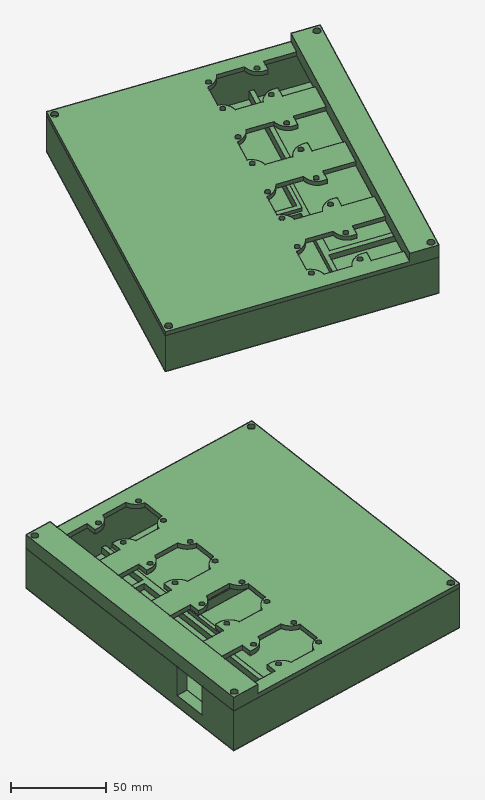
import cadquery as cq

length = 170.0
width = 154.1
total_height = 36.9
base_height = 27.5

side_wall = 6.8
floor_thickness = 3.0
inner_right = length - side_wall
inner_back = width - side_wall

notch_left = 25.8
notch_width = 20.4
notch_sill = 7.6

divider = 2.7
low_top = 7.1
tall_top = 9.5

middle_bay_left = 68.1
middle_bay_right = 126.8
middle_bay_front = 109.5
right_bay_left = 96.4
right_bay_front = 108.0

left_bay_front = 114.2
left_bay_right = 66.8
front_bay_left = middle_bay_left
front_bay_right = 92.5
front_bay_back = 104.5
front_bay_left_wall = 3.4
front_bay_back_wall = 2.0
front_bay_right_wall = 2.5

lid_thickness = 3.0
lid_top = base_height + lid_thickness
bar_width = 16.5
bar_front = width - bar_width

screw_diameter = 4.0
screw_inset_x = 3.4
screw_inset_y = 3.2

joystick_count = 4
joystick_pitch = 42.3
joystick_y = 100.5
window_half_width = 13.5
window_half_height = 15.3
window_side_half = 7.8
neck_half_width = 7.0
corner_arc_x = 9.2
corner_arc_y = 10.5
shoulder_y = 18.7
joystick_hole_diameter = 3.0
joystick_hole_x = 20.4
joystick_hole_y = 27.4


def block(x_min, x_max, y_min, y_max, z_min, z_max):
    """Box between the given limits."""
    size = (x_max - x_min, y_max - y_min, z_max - z_min)
    return cq.Workplane("XY").box(*size, centered=False).translate((x_min, y_min, z_min))


def low_dividers():
    """Low walls around the middle back bay and the right-hand bay."""
    middle_outer_left = middle_bay_left - divider
    middle_outer_right = middle_bay_right + divider
    middle_outer_front = middle_bay_front - divider
    right_outer_front = right_bay_front - divider
    walls = block(middle_outer_left, middle_outer_right, middle_outer_front, middle_bay_front,
                  floor_thickness, low_top)
    for x_min in (middle_outer_left, middle_bay_right):
        walls = walls.union(block(x_min, x_min + divider, middle_outer_front, inner_back,
                                  floor_thickness, low_top))
    walls = walls.union(block(right_bay_left - divider, inner_right, right_outer_front, right_bay_front,
                              floor_thickness, low_top))
    return walls.union(block(right_bay_left - divider, right_bay_left, side_wall, right_bay_front,
                             floor_thickness, low_top))


def tall_dividers():
    """Tall walls in front of the left back bay and around the middle front bay."""
    front_bay_outer_left = front_bay_left - front_bay_left_wall
    front_bay_outer_right = front_bay_right + front_bay_right_wall
    front_bay_outer_back = front_bay_back + front_bay_back_wall
    walls = block(side_wall, left_bay_right, left_bay_front - divider, left_bay_front,
                  floor_thickness, tall_top)
    walls = walls.union(block(front_bay_outer_left, left_bay_right, side_wall, left_bay_front,
                              floor_thickness, tall_top))
    walls = walls.union(block(front_bay_outer_left, front_bay_left, side_wall, front_bay_outer_back,
                              floor_thickness, tall_top))
    walls = walls.union(block(front_bay_outer_left, front_bay_outer_right, front_bay_back,
                              front_bay_outer_back, floor_thickness, tall_top))
    return walls.union(block(front_bay_right, front_bay_outer_right, side_wall, front_bay_outer_back,
                             floor_thickness, tall_top))


def make_base():
    """Open tray with floor dividers and a cable notch in its back wall."""
    shell = block(0, length, 0, width, 0, base_height)
    cavity = block(side_wall, inner_right, side_wall, inner_back, floor_thickness, base_height)
    notch = block(notch_left, notch_left + notch_width, inner_back, width, notch_sill, base_height)
    return shell.cut(cavity).cut(notch).union(low_dividers()).union(tall_dividers())


def joystick_window(center_x):
    """Cutter for one joystick: a body opening, a narrow neck and a wide slot back to the bar."""
    slot_end = bar_front - joystick_y
    return (
        cq.Workplane("XY")
        .moveTo(-neck_half_width, -window_half_height)
        .lineTo(neck_half_width, -window_half_height)
        .threePointArc((corner_arc_x, -corner_arc_y), (window_half_width, -window_side_half))
        .lineTo(window_half_width, window_side_half)
        .threePointArc((corner_arc_x, corner_arc_y), (neck_half_width, window_half_height))
        .lineTo(neck_half_width, shoulder_y)
        .lineTo(window_half_width, shoulder_y)
        .lineTo(window_half_width, slot_end)
        .lineTo(-window_half_width, slot_end)
        .lineTo(-window_half_width, shoulder_y)
        .lineTo(-neck_half_width, shoulder_y)
        .lineTo(-neck_half_width, window_half_height)
        .threePointArc((-corner_arc_x, corner_arc_y), (-window_half_width, window_side_half))
        .lineTo(-window_half_width, -window_side_half)
        .threePointArc((-corner_arc_x, -corner_arc_y), (-neck_half_width, -window_half_height))
        .close()
        .extrude(lid_thickness)
        .translate((center_x, joystick_y, base_height))
    )


def joystick_holes(center_x):
    """Cutter for the four mounting holes around one joystick."""
    return (
        cq.Workplane("XY", origin=(center_x, joystick_y, base_height))
        .rect(joystick_hole_x, joystick_hole_y, forConstruction=True)
        .vertices()
        .circle(joystick_hole_diameter / 2)
        .extrude(lid_thickness)
    )


def screw_holes():
    """Cutter for the four corner screw holes through the lid and its bar."""
    return (
        cq.Workplane("XY", origin=(length / 2, width / 2, base_height))
        .rect(length - 2 * screw_inset_x, width - 2 * screw_inset_y, forConstruction=True)
        .vertices()
        .circle(screw_diameter / 2)
        .extrude(total_height - base_height)
    )


def make_lid():
    """Flat cover with a raised bar along its back edge and openings for the joysticks."""
    plate = block(0, length, 0, width, base_height, lid_top)
    bar = block(0, length, bar_front, width, base_height, total_height)
    cover = plate.union(bar).cut(screw_holes())
    for index in range(joystick_count):
        center_x = length / 2 + (index - (joystick_count - 1) / 2) * joystick_pitch
        cover = cover.cut(joystick_window(center_x)).cut(joystick_holes(center_x))
    return cover


base = make_base()
lid = make_lid()

result = cq.Compound.makeCompound([base.val(), lid.val()])